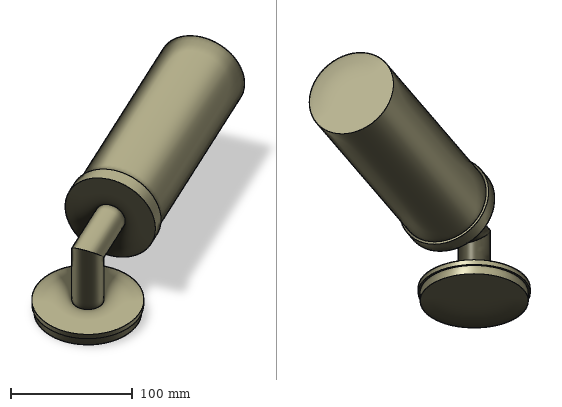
import cadquery as cq

overall_length = 301.7
flange_diameter = 92.3
base_diameter = 89.0
base_height = 7.8
flange_thickness = 4.5
pipe_diameter = 26.5
cap_diameter = 80.0
cap_thickness = 12.7
body_diameter = 75.5
overall_height = 101.5
cap_face_y = 50.0

axis_height = overall_height - cap_diameter / 2
body_end_y = overall_length - flange_diameter / 2
flange_top = base_height + flange_thickness


def cylinder_along_y(diameter, start_y, end_y):
    """Solid cylinder on the raised horizontal axis, from start_y to end_y."""
    plane = cq.Plane(origin=(0, start_y, axis_height), xDir=(1, 0, 0), normal=(0, 1, 0))
    return cq.Workplane(plane).circle(diameter / 2).extrude(end_y - start_y)


base = cq.Workplane("XY").circle(base_diameter / 2).extrude(base_height)
flange = (
    cq.Workplane("XY", origin=(0, 0, base_height))
    .circle(flange_diameter / 2)
    .extrude(flange_thickness)
)

pipe_path = cq.Workplane("YZ").polyline(
    [(0, flange_top), (0, axis_height), (cap_face_y, axis_height)]
)
pipe = (
    cq.Workplane("XY", origin=(0, 0, flange_top))
    .circle(pipe_diameter / 2)
    .sweep(pipe_path, transition="right")
)

cap_back_y = cap_face_y + cap_thickness
cap = cylinder_along_y(cap_diameter, cap_face_y, cap_back_y)
body = cylinder_along_y(body_diameter, cap_back_y, body_end_y)

result = base.union(flange).union(pipe).union(cap).union(body)